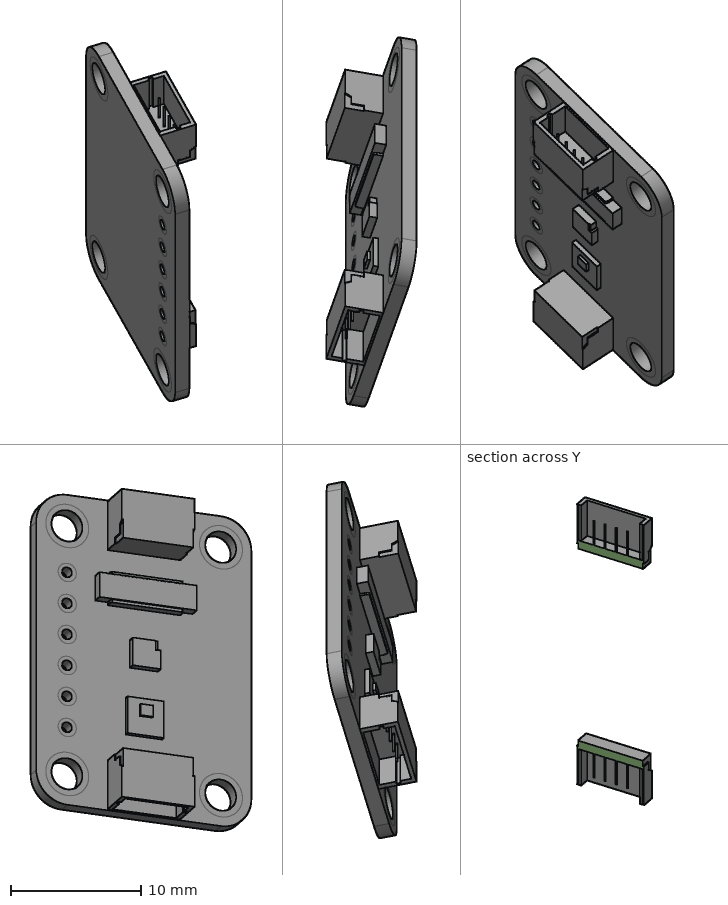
import cadquery as cq

GRID = 2.54
BOARD_X = 7 * GRID
BOARD_Z = 10 * GRID
BOARD_T = 1.2
CORNER_R = GRID

MOUNT_X = BOARD_X / 2 - GRID
MOUNT_Z = BOARD_Z / 2 - GRID
MOUNT_HOLE_D = 2.54
MOUNT_PAD_D = 3.54
HEADER_COUNT = 6
HEADER_HOLE_D = 0.8
HEADER_PAD_D = 1.5

CONN_X = 6.0
CONN_H = 3.0
CONN_L = 4.0
CONN_INSET = 0.08
CONN_SIDE_WALL = 0.38
CONN_TOP_WALL = 0.33
CONN_BASE_WALL = 0.16
CONN_FLOOR = 0.8
KEY_W = 0.33
KEY_DEPTH = 0.2
KEY_H = 1.63
PIN_COUNT = 4
PIN_PITCH = 1.0
PIN_D = 0.15
PIN_TIP_R = 0.07
PIN_H = 1.8
PIN_RECESS = 1.05
RELIEF_DEPTH = 0.1
RELIEF_LOW_H = 1.5
RELIEF_LOW_L = 0.5
RELIEF_HIGH_H = 0.5
RELIEF_HIGH_L = 1.2
RELIEF_OUTER_L = 1.5

LONG_X = 8.03
LONG_Z = 2.03
LONG_H = 0.89
LONG_CENTRE_Z = 5.36
LEAD_SPAN_Z = 2.52
LEAD_X = 6.0
LEAD_H = 0.73
LEAD_BEVEL_DROP = 0.24
LEAD_BEVEL_X = 0.08

CHIP_X = 2.3
CHIP_Z = 2.27
CHIP_H = 0.62
CHIP_BOTTOM_Z = -0.77
SHOULDER_X = 0.4
SHOULDER_Z = 0.73
SHOULDER_DROP = 0.08
SHOULDER_SETBACK = 0.2

FLAT_X = 3.0
FLAT_Z = 3.0
FLAT_H = 0.4
FLAT_CENTRE_Z = -4.79
RAISED_X = 1.0
RAISED_Z = 0.92
RAISED_H = 0.64
RAISED_CENTRE_Z = -4.31


def block(size_x, height, size_z, centre_x, centre_z, base=BOARD_T):
    """Box centred in X and Z that rises in +Y from the given base."""
    box = cq.Workplane("XY").box(size_x, height, size_z)
    return box.translate((centre_x, base + height / 2, centre_z))


def disc(diameter, x, z):
    """Cylinder through the full board thickness."""
    return cq.Workplane("XZ").center(x, z).circle(diameter / 2).extrude(-BOARD_T)


def plated_holes():
    """Hole diameter, pad diameter and X, Z centre of every plated hole."""
    holes = []
    for x in (-MOUNT_X, MOUNT_X):
        for z in (-MOUNT_Z, MOUNT_Z):
            holes.append((MOUNT_HOLE_D, MOUNT_PAD_D, x, z))
    for i in range(HEADER_COUNT):
        z = (i - (HEADER_COUNT - 1) / 2) * GRID
        holes.append((HEADER_HOLE_D, HEADER_PAD_D, MOUNT_X, z))
    return holes


def bare_board():
    board = cq.Workplane("XZ").rect(BOARD_X, BOARD_Z).extrude(-BOARD_T)
    board = board.edges("|Y").fillet(CORNER_R)
    for _, pad_d, x, z in plated_holes():
        board = board.cut(disc(pad_d, x, z))
    return board


def connector():
    """Connector at the +Z end, with its mouth facing +Z."""
    mouth_z = BOARD_Z / 2 - CONN_INSET
    closed_z = mouth_z - CONN_L
    housing = block(CONN_X, CONN_H, CONN_L, 0, mouth_z - CONN_L / 2)

    cavity_x = CONN_X - 2 * CONN_SIDE_WALL
    cavity_h = CONN_H - CONN_TOP_WALL - CONN_BASE_WALL
    cavity_l = CONN_L - CONN_FLOOR
    cavity_z = mouth_z - cavity_l / 2
    housing = housing.cut(block(cavity_x, cavity_h, cavity_l, 0, cavity_z, BOARD_T + CONN_BASE_WALL))
    key_base = BOARD_T + KEY_H - KEY_W / 2
    housing = housing.cut(block(cavity_x + 2 * KEY_DEPTH, KEY_W, cavity_l, 0, cavity_z, key_base))

    top_y = BOARD_T + CONN_H
    relief = (
        cq.Workplane("YZ")
        .moveTo(top_y, closed_z)
        .lineTo(top_y - RELIEF_LOW_H, closed_z)
        .lineTo(top_y - RELIEF_LOW_H, closed_z + RELIEF_LOW_L)
        .lineTo(top_y - RELIEF_HIGH_H, closed_z + RELIEF_LOW_L)
        .lineTo(top_y - RELIEF_HIGH_H, closed_z + RELIEF_HIGH_L)
        .lineTo(top_y, closed_z + RELIEF_OUTER_L)
        .close()
        .extrude(RELIEF_DEPTH)
    )
    housing = housing.cut(relief.translate((-CONN_X / 2, 0, 0)))
    housing = housing.cut(relief.translate((CONN_X / 2 - RELIEF_DEPTH, 0, 0)))

    pin_l = CONN_L - PIN_RECESS
    for i in range(PIN_COUNT):
        x = (i - (PIN_COUNT - 1) / 2) * PIN_PITCH
        pin = cq.Workplane("XY").circle(PIN_D / 2).extrude(pin_l).faces(">Z").edges().fillet(PIN_TIP_R)
        housing = housing.union(pin.translate((x, BOARD_T + PIN_H, closed_z)))
    return housing


def long_component():
    body = block(LONG_X, LONG_H, LONG_Z, 0, LONG_CENTRE_Z)
    half_x = LEAD_X / 2
    lead_top = BOARD_T + LEAD_H
    lead_profile = [
        (-half_x, BOARD_T),
        (-half_x, lead_top - LEAD_BEVEL_DROP),
        (LEAD_BEVEL_X - half_x, lead_top),
        (half_x - LEAD_BEVEL_X, lead_top),
        (half_x, lead_top - LEAD_BEVEL_DROP),
        (half_x, BOARD_T),
    ]
    leads = cq.Workplane("XY").polyline(lead_profile).close().extrude(LEAD_SPAN_Z)
    leads = leads.translate((0, 0, LONG_CENTRE_Z - LEAD_SPAN_Z / 2))
    return body.union(leads)


def shouldered_chip():
    chip = block(CHIP_X, CHIP_H, CHIP_Z, 0, CHIP_BOTTOM_Z + CHIP_Z / 2)
    shoulder_x = (SHOULDER_X - CHIP_X) / 2
    setback_x = (SHOULDER_SETBACK - CHIP_X) / 2
    shoulder_z = CHIP_BOTTOM_Z + CHIP_Z - SHOULDER_Z / 2
    shoulder_base = BOARD_T + CHIP_H - SHOULDER_DROP
    chip = chip.cut(block(SHOULDER_X, SHOULDER_DROP, SHOULDER_Z, shoulder_x, shoulder_z, shoulder_base))
    return chip.cut(block(SHOULDER_SETBACK, CHIP_H, SHOULDER_Z, setback_x, shoulder_z))


def flat_package():
    base = block(FLAT_X, FLAT_H, FLAT_Z, 0, FLAT_CENTRE_Z)
    return base.union(block(RAISED_X, RAISED_H, RAISED_Z, 0, RAISED_CENTRE_Z))


upper_connector = connector()
result = bare_board()
result = result.union(upper_connector)
result = result.union(upper_connector.mirror("XY"))
result = result.union(long_component())
result = result.union(shouldered_chip())
result = result.union(flat_package())

for hole_d, pad_d, hole_x, hole_z in plated_holes():
    sleeve = disc(pad_d, hole_x, hole_z).cut(disc(hole_d, hole_x, hole_z))
    result = result.union(sleeve, clean=False)